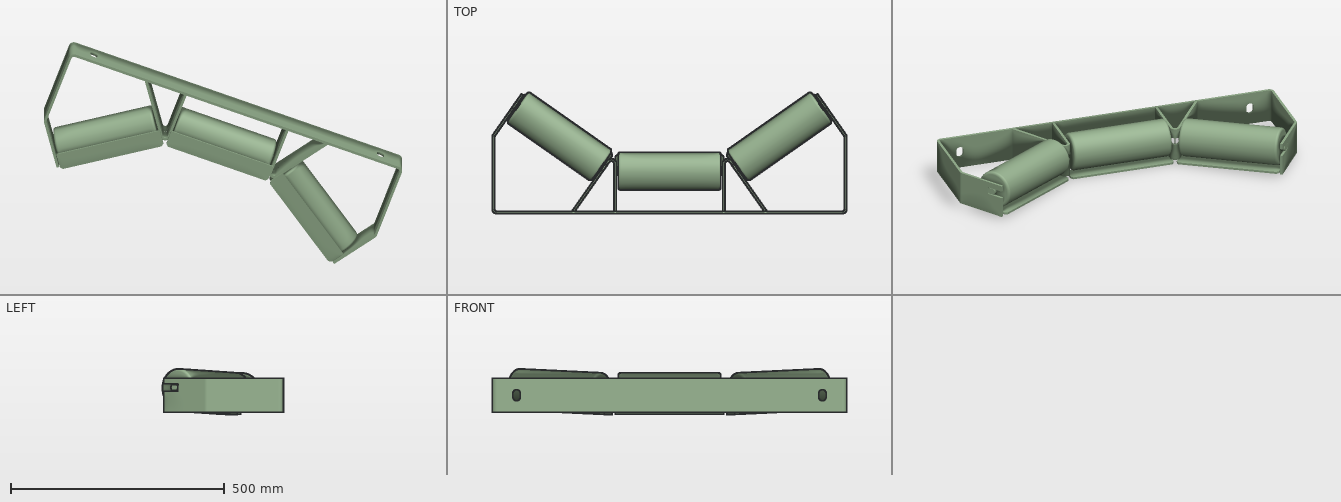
import cadquery as cq
import math


strip_thickness = 6.0
strip_width = 80.0
bend_outer_radius = 12.0
bend_inner_radius = bend_outer_radius - strip_thickness

frame_length = 830.0
trough_angle = 35.0
forward_tilt = 2.265
support_span = 248.0
axis_height = 48.0
center_axis_y = 100.0
axis_below_bend = 17.0
arm_above_axis = 30.5

roller_radius = 44.5
roller_length = 240.0
roller_edge_radius = 6.0
axle_diameter = 20.0
axle_flat_height = 14.0
shoulder_clearance = 1.0

slot_width = 17.0
slot_corner_radius = 3.0
slot_cut_depth = 3 * strip_thickness

mount_slot_width = 17.5
mount_slot_length = 26.0
mount_slot_spacing = 715.0

plate_thickness = 5.0
plate_width = 39.0
plate_chamfer = 5.5
plate_overlap = 3.0
plate_arm_gap = 1.0

half_length = frame_length / 2
half_span = support_span / 2
trough_cos = math.cos(math.radians(trough_angle))
trough_sin = math.sin(math.radians(trough_angle))
tilt_sin = math.sin(math.radians(forward_tilt))
half_angle_tan = math.tan(math.radians(trough_angle / 2))
bend_center_x = -half_span - bend_outer_radius
bend_center_y = center_axis_y + axis_below_bend

wing_inner_x = bend_center_x - bend_outer_radius * trough_cos - axis_below_bend * trough_sin
wing_inner_y = bend_center_y + bend_outer_radius * trough_sin - axis_below_bend * trough_cos
wing_outer_x = wing_inner_x - support_span * trough_cos
wing_outer_y = wing_inner_y + support_span * trough_sin
wing_outer_z = axis_height + support_span * tilt_sin


def place_on_wing(body):
    """Move a body from the X axis, inner support at the origin, to the left wing axis."""
    tilted = body.rotate((0, 0, 0), (0, 1, 0), forward_tilt)
    turned = tilted.rotate((0, 0, 0), (0, 0, 1), -trough_angle)
    return turned.translate((wing_inner_x, wing_inner_y, axis_height))


def axle_slot(x, y, z, turn, length):
    """Cutter for an open slot: it holds an axle at (x, y, z) and opens along local +Y."""
    bottom = -axle_diameter / 2
    cutter = (
        cq.Workplane("XY")
        .box(slot_cut_depth, length - bottom, slot_width, centered=(True, False, True))
        .translate((0, bottom, 0))
        .edges("|X and <Y")
        .fillet(slot_corner_radius)
    )
    return cutter.rotate((0, 0, 0), (0, 0, 1), turn).translate((x, y, z))


def make_frame():
    outer_arm_x = wing_outer_x - strip_thickness * trough_cos
    outer_arm_y = wing_outer_y + strip_thickness * trough_sin
    upright_top = outer_arm_y - (outer_arm_x + half_length) / trough_sin * trough_cos
    inner_x = half_length - strip_thickness
    inner_top = upright_top - strip_thickness * half_angle_tan
    rise_x = arm_above_axis * trough_sin
    rise_y = arm_above_axis * trough_cos

    left_outer = [
        (outer_arm_x + rise_x, outer_arm_y + rise_y),
        (-half_length, upright_top),
        (-half_length, 0),
    ]
    left_inner = [
        (-inner_x, strip_thickness),
        (-inner_x, inner_top),
        (wing_outer_x + rise_x, wing_outer_y + rise_y),
    ]
    right_outer = [(-x, y) for x, y in reversed(left_outer)]
    right_inner = [(-x, y) for x, y in reversed(left_inner)]
    outline = left_outer + right_outer + right_inner + left_inner
    frame = cq.Workplane("XY").polyline(outline).close().extrude(strip_width)

    bends = [
        (half_length, upright_top, bend_outer_radius),
        (half_length, 0, bend_outer_radius),
        (inner_x, strip_thickness, bend_inner_radius),
        (inner_x, inner_top, bend_inner_radius),
    ]
    for x, y, radius in bends:
        for side in (-1, 1):
            corner = cq.selectors.NearestToPointSelector((side * x, y, strip_width / 2))
            frame = frame.edges(corner).fillet(radius)

    mount_slots = (
        cq.Workplane("XZ")
        .pushPoints([(side * mount_slot_spacing / 2, strip_width / 2) for side in (-1, 1)])
        .slot2D(mount_slot_length, mount_slot_width, 90)
        .extrude(-strip_thickness)
    )
    slot = axle_slot(
        (wing_outer_x + outer_arm_x) / 2,
        (wing_outer_y + outer_arm_y) / 2,
        wing_outer_z,
        -trough_angle,
        2 * arm_above_axis,
    )
    return frame.cut(mount_slots).cut(slot).cut(slot.mirror("YZ"))


def make_left_bracket():
    def on_bend(radius, angle):
        radians = math.radians(angle)
        return (bend_center_x + radius * math.cos(radians), bend_center_y + radius * math.sin(radians))

    leaning_angle = 180 - trough_angle
    middle_angle = leaning_angle / 2

    def foot(radius):
        x, y = on_bend(radius, leaning_angle)
        return (x - (y - strip_thickness) * trough_sin / trough_cos, strip_thickness)

    bracket = (
        cq.Workplane("XY")
        .moveTo(*foot(bend_outer_radius))
        .lineTo(*on_bend(bend_outer_radius, leaning_angle))
        .threePointArc(on_bend(bend_outer_radius, middle_angle), on_bend(bend_outer_radius, 0))
        .lineTo(bend_center_x + bend_outer_radius, strip_thickness)
        .lineTo(bend_center_x + bend_inner_radius, strip_thickness)
        .lineTo(*on_bend(bend_inner_radius, 0))
        .threePointArc(on_bend(bend_inner_radius, middle_angle), on_bend(bend_inner_radius, leaning_angle))
        .lineTo(*foot(bend_inner_radius))
        .close()
        .extrude(strip_width)
    )
    slot_length = axis_below_bend + bend_outer_radius
    center_slot = axle_slot(-half_span, center_axis_y, axis_height, 0, slot_length)
    wing_slot = axle_slot(wing_inner_x, wing_inner_y, axis_height, -trough_angle, slot_length)
    return bracket.cut(center_slot).cut(wing_slot)


def make_roller():
    shell = (
        cq.Workplane("YZ", origin=(-roller_length / 2, 0, 0))
        .circle(roller_radius)
        .extrude(roller_length)
        .edges()
        .fillet(roller_edge_radius)
    )
    axle_half_length = half_span + strip_thickness
    axle = (
        cq.Workplane("YZ", origin=(-axle_half_length, 0, 0))
        .circle(axle_diameter / 2)
        .extrude(2 * axle_half_length)
    )
    flat_start = half_span - shoulder_clearance
    flat_length = axle_half_length - flat_start
    for side in (-1, 1):
        end_zone = cq.Workplane("XY").box(flat_length, axle_diameter, axle_diameter)
        flat_bar = cq.Workplane("XY").box(flat_length, axle_diameter, axle_flat_height)
        waste = end_zone.cut(flat_bar)
        axle = axle.cut(waste.translate((side * (flat_start + flat_length / 2), 0, 0)))
    return shell.union(axle)


def make_plate(x_start, x_end):
    return (
        cq.Workplane("XY")
        .box(x_end - x_start, plate_width, plate_thickness, centered=False)
        .edges("|Z and >Y")
        .chamfer(plate_chamfer)
        .translate((x_start, 0, -axis_height - plate_thickness))
    )


frame = make_frame()

left_bracket = make_left_bracket()
brackets = [left_bracket, left_bracket.mirror("YZ")]

center_position = (0, center_axis_y, axis_height)
wing_roller = place_on_wing(make_roller().translate((-half_span, 0, 0)))
rollers = [make_roller().translate(center_position), wing_roller, wing_roller.mirror("YZ")]

center_reach = half_span + plate_overlap
center_plate = make_plate(-center_reach, center_reach).translate(center_position)
tilt_shift = (axis_height + plate_thickness) * tilt_sin
wing_plate_start = tilt_shift - support_span + plate_arm_gap
wing_plate = place_on_wing(make_plate(wing_plate_start, tilt_shift + plate_overlap))
plates = [center_plate, wing_plate, wing_plate.mirror("YZ")]

bodies = [frame, *brackets, *rollers, *plates]
result = cq.Compound.makeCompound([body.solids().val() for body in bodies])